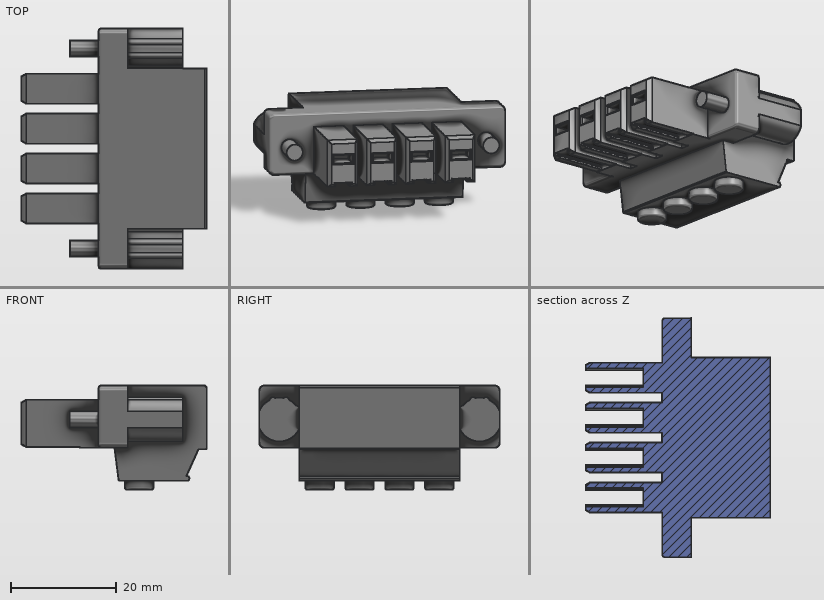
import cadquery as cq
import math


flange_length = 45.65
flange_height = 11.87
flange_thickness = 5.55
flange_corner_radius = 1.0
flange_edge_radius = 0.55

housing_width = 30.5
housing_back = 20.6
housing_top_chamfer = 0.4
housing_heel_chamfer = 0.2
heel_z = -6.2
slope_start_x = 19.0
base_z = -12.2
base_front_x = 3.8
base_front_chamfer = 0.2
base_back_x = 17.1
wall_front_x = 3.0
latch_notch_x = 16.7
latch_notch_z = -11.3
latch_tip_x = 17.3
latch_tip_z = -11.75

contact_count = 4
contact_pitch = 7.6
blade_length = 14.7
blade_width = 5.75
blade_top_z = 3.25
blade_bottom_z = -5.8
blade_tip_length = 1.0
blade_tip_inset = 0.6
collar_length = 3.55

window_width = 4.0
window_height = 2.0
window_z = -0.35
window_depth = 4.55
window_chamfer = 0.25

slot_width = 3.5
slot_mouth_width = 2.8
slot_roof_z = -4.9
slot_lip_z = -5.35

plug_radius = 2.75
plug_x = 7.7
plug_length = 1.7
plug_edge_radius = 0.45

screw_y = 19.0
screw_z = -0.55
pin_radius = 1.55
pin_length = 5.45
grip_radius = 4.15
grip_back = 16.05
ridge_radius = 0.65
ridge_distance = 3.85
ridge_angles = (-18.4, 18.4, 59.5)

flange_bottom = -flange_height / 2
flange_top = flange_height / 2
contact_ys = [(i - (contact_count - 1) / 2) * contact_pitch for i in range(contact_count)]
contact_span = (contact_count - 1) * contact_pitch + blade_width


def box(x_range, y_range, z_range):
    """Box spanning the given (low, high) range on each axis."""
    lows, highs = zip(x_range, y_range, z_range)
    sizes = [high - low for low, high in zip(lows, highs)]
    return cq.Workplane("XY").box(*sizes, centered=False).translate(lows)


def centred(middle, width):
    return (middle - width / 2, middle + width / 2)


def rod(radius, x_start, x_end, y, z):
    """Cylinder along X."""
    return cq.Workplane("YZ", origin=(x_start, y, z)).circle(radius).extrude(x_end - x_start)


def make_flange():
    plate = box((0, flange_thickness), centred(0, flange_length), (flange_bottom, flange_top))
    plate = plate.edges("|X").fillet(flange_corner_radius)
    plate = plate.faces("<X").edges().fillet(flange_edge_radius)
    sill = box(
        (0, flange_thickness),
        centred(0, contact_span),
        (flange_bottom, flange_bottom + 2 * flange_edge_radius),
    )
    return plate.union(sill)


def make_housing():
    outline = [
        (wall_front_x, flange_top),
        (housing_back - housing_top_chamfer, flange_top),
        (housing_back, flange_top - housing_top_chamfer),
        (housing_back, heel_z + housing_heel_chamfer),
        (housing_back - housing_heel_chamfer, heel_z),
        (slope_start_x, heel_z),
        (latch_notch_x, latch_notch_z),
        (base_back_x, latch_notch_z),
        (latch_tip_x, latch_tip_z),
        (base_back_x, base_z),
        (base_front_x + base_front_chamfer, base_z),
        (base_front_x, base_z + base_front_chamfer),
        (wall_front_x, flange_bottom),
    ]
    side = cq.Workplane("XZ").polyline(outline).close()
    return side.extrude(housing_width / 2, both=True)


def make_blade_body(y):
    """Solid blade whose tip tapers on all four sides."""
    height = blade_top_z - blade_bottom_z
    middle_z = (blade_top_z + blade_bottom_z) / 2
    taper = (
        cq.Workplane("YZ", origin=(-blade_length, y, middle_z))
        .rect(blade_width - 2 * blade_tip_inset, height - 2 * blade_tip_inset)
        .workplane(offset=blade_tip_length)
        .rect(blade_width, height)
        .loft(ruled=True)
    )
    shank = box(
        (blade_tip_length - blade_length, 0),
        centred(y, blade_width),
        (blade_bottom_z, blade_top_z),
    )
    return taper.union(shank)


def make_blade(y):
    """One contact blade: tapered tip, window, undercut slot and deeper collar at the root."""
    tip_face_x = -blade_length
    body = make_blade_body(y)

    window_mouth = (
        cq.Workplane("YZ", origin=(tip_face_x, y, window_z))
        .rect(window_width, window_height)
        .workplane(offset=window_chamfer)
        .rect(window_width - 2 * window_chamfer, window_height - 2 * window_chamfer)
        .loft(ruled=True)
    )
    window = box(
        (tip_face_x, tip_face_x + window_depth),
        centred(y, window_width - 2 * window_chamfer),
        centred(window_z, window_height - 2 * window_chamfer),
    )
    slot_x = (tip_face_x, -collar_length)
    slot = box(slot_x, centred(y, slot_width), (slot_lip_z, slot_roof_z))
    slot_mouth = box(slot_x, centred(y, slot_mouth_width), (blade_bottom_z, slot_lip_z))
    body = body.cut(window_mouth).cut(window).cut(slot).cut(slot_mouth)

    collar = box((-collar_length, 0), centred(y, blade_width), (flange_bottom, blade_top_z))
    return body.union(collar)


def make_plug(y):
    plug = cq.Workplane("XY", origin=(plug_x, y, base_z)).circle(plug_radius).extrude(-plug_length)
    return plug.faces("<Z").edges().fillet(plug_edge_radius)


def make_screw(side):
    """Screw on the +Y (side = 1) or -Y (side = -1) end of the flange."""
    y = side * screw_y
    grip_x = (flange_thickness, grip_back)
    grip = rod(grip_radius, *grip_x, y, screw_z)
    grip = grip.intersect(box(grip_x, centred(0, flange_length), centred(screw_z, 2 * grip_radius)))
    for angle in ridge_angles:
        ridge_y = y - side * ridge_distance * math.sin(math.radians(angle))
        ridge_z = screw_z + ridge_distance * math.cos(math.radians(angle))
        grip = grip.union(rod(ridge_radius, *grip_x, ridge_y, ridge_z))
    pin = rod(pin_radius, -pin_length, 0, y, screw_z)
    return grip.union(pin)


result = make_flange().union(make_housing())
for contact_y in contact_ys:
    result = result.union(make_blade(contact_y)).union(make_plug(contact_y))
for screw_side in (1, -1):
    result = result.union(make_screw(screw_side))